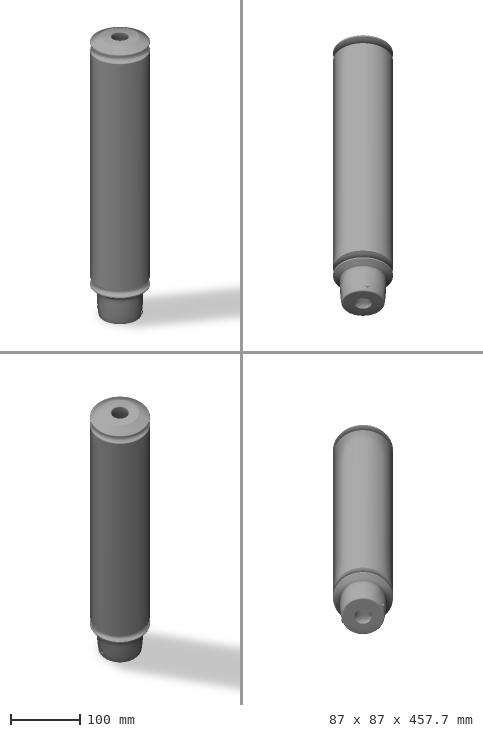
import cadquery as cq

length = 457.7
body_radius = 43.5
bore_diameter = 25.0
bore_chamfer = 1.0

cap_face_radius = 27.5
cap_rim_radius = 31.0
cap_rim_drop = 2.0
cap_land_top = 450.0
cap_land_bottom = 447.5

groove_radius = 31.0
groove_half_height = 6.0
upper_groove_z = cap_land_bottom - groove_half_height
lower_groove_z = 57.0
body_top = upper_groove_z - groove_half_height
rim_fillet = 1.5
body_bottom = lower_groove_z + groove_half_height

flange_land_top = lower_groove_z - groove_half_height
flange_land_height = 2.0
flange_land_bottom = flange_land_top - flange_land_height

spigot_top = 42.5
spigot_top_radius = 34.0
spigot_mid_z = 23.0
spigot_mid_radius = 33.5
spigot_foot_radius = 31.0
spigot_fillet = 2.0

pin_diameter = 5.0
pin_z = 8.5
pin_reach = spigot_top_radius
pin_root = 27.5


def rim_circle(rim_z):
    """Select the full-radius circular edge at height rim_z."""
    margin = 0.5
    reach = body_radius + margin
    return cq.selectors.BoxSelector(
        (-reach, -reach, rim_z - margin), (reach, reach, rim_z + margin), boundingbox=True
    )


def turned_body():
    """Revolve the outer half-profile around the Z axis."""
    profile = (
        cq.Workplane("XZ")
        .moveTo(0, 0)
        .lineTo(spigot_foot_radius, 0)
        .threePointArc((spigot_mid_radius, spigot_mid_z), (spigot_top_radius, spigot_top))
        .lineTo(body_radius, flange_land_bottom)
        .lineTo(body_radius, flange_land_top)
        .lineTo(groove_radius, lower_groove_z)
        .lineTo(body_radius, body_bottom)
        .lineTo(body_radius, body_top)
        .lineTo(groove_radius, upper_groove_z)
        .lineTo(body_radius, cap_land_bottom)
        .lineTo(body_radius, cap_land_top)
        .lineTo(cap_rim_radius, length - cap_rim_drop)
        .lineTo(cap_face_radius, length)
        .lineTo(0, length)
        .close()
    )
    turned = profile.revolve(360, (0, 0, 0), (0, 1, 0))
    turned = turned.faces("<Z").edges().fillet(spigot_fillet)
    for rim_z in (cap_land_top, body_top):
        turned = turned.edges(rim_circle(rim_z)).fillet(rim_fillet)
    return turned


def locating_pin(side):
    """Radial pin on the -X (side = -1) or +X (side = 1) side of the spigot."""
    return (
        cq.Workplane("YZ", origin=(side * pin_root, 0, pin_z))
        .circle(pin_diameter / 2)
        .extrude(side * (pin_reach - pin_root))
    )


result = turned_body()
for side in (-1, 1):
    result = result.union(locating_pin(side))

bore = cq.Workplane("XY").circle(bore_diameter / 2).extrude(length)
mouth = cq.Workplane("XY").add(
    cq.Solid.makeCone(
        bore_diameter / 2, bore_diameter / 2 + bore_chamfer, bore_chamfer,
        pnt=cq.Vector(0, 0, length - bore_chamfer),
    )
)
result = result.cut(bore).cut(mouth)